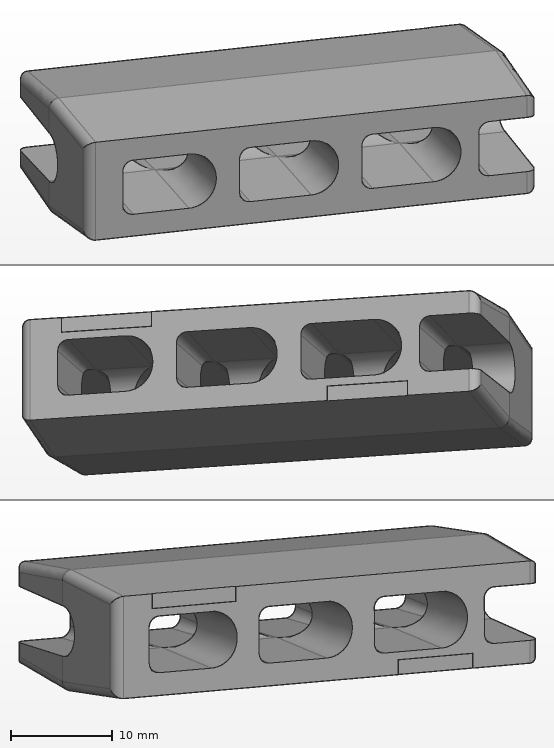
import cadquery as cq
import math

length = 47.4
width = 22.0
mid_height = 12.2
edge_height = 10.3
end_fillet = 1.0
half_width = width / 2

draft_angle = 1.6
side_draft = half_width * math.tan(math.radians(draft_angle))

bore_diameter = 5.05
bore_radius = bore_diameter / 2
pocket_pitch = 12.7
slot_width = 1.55
slot_radius = slot_width / 2
inner_slot_y = pocket_pitch / 2
outer_slot_y = 18.5

closed_pockets = [
    (-outer_slot_y, -pocket_pitch),
    (-inner_slot_y, 0),
    (inner_slot_y, pocket_pitch),
]

label_depth = 0.1
label_inner_z = 3.65
labels = [
    (14.6, 9.2, 1),
    (-12.05, 8.2, -1),
]


def hexagon_prism(plane, mid_size, side_size, depth):
    """Prism with a six-sided outline that is widest at x = 0."""
    half_mid = mid_size / 2
    half_side = side_size / 2
    outline = [
        (0, half_mid),
        (half_width, half_side),
        (half_width, -half_side),
        (0, -half_mid),
        (-half_width, -half_side),
        (-half_width, half_side),
    ]
    return cq.Workplane(plane).polyline(outline).close().extrude(depth / 2, both=True)


def make_body():
    """Block tapering toward both sides, with the rims of its ends rounded."""
    profile = hexagon_prism("XZ", mid_height, edge_height, length)
    plan = hexagon_prism("XY", length, length - 2 * side_draft, mid_height)
    block = profile.intersect(plan)
    rims = block.edges("not |Y").edges("<X or >X or (not |Z)")
    return rims.fillet(end_fillet)


def pocket_start(square_y):
    """Square end of a pocket outline, drawn from its upper to its lower corner."""
    return (
        cq.Workplane("YZ")
        .moveTo(square_y + slot_radius, bore_radius)
        .radiusArc((square_y, bore_radius - slot_radius), -slot_radius)
        .lineTo(square_y, slot_radius - bore_radius)
        .radiusArc((square_y + slot_radius, -bore_radius), -slot_radius)
    )


def make_closed_pocket(slot_y, round_y):
    """Drafted pocket from a square end at the slot to a round end toward +Y."""
    outline = (
        pocket_start(slot_y - slot_radius)
        .lineTo(round_y, -bore_radius)
        .threePointArc((round_y + bore_radius, 0), (round_y, bore_radius))
        .close()
    )
    return outline.extrude(half_width, taper=-draft_angle)


def make_open_pocket():
    """Drafted pocket that runs out through the +Y end."""
    outline = (
        pocket_start(outer_slot_y - slot_radius)
        .lineTo(length, -bore_radius)
        .lineTo(length, bore_radius)
        .close()
    )
    return outline.extrude(half_width, taper=-draft_angle)


def make_label_recess(center_y, label_length, side):
    """Shallow rectangle between the pockets and the upper or lower face edge."""
    label_height = mid_height / 2 - label_inner_z
    center_z = side * (label_inner_z + label_height / 2)
    recess = cq.Workplane("XY").box(2 * label_depth, label_length, label_height)
    return recess.translate((-half_width, center_y, center_z))


def make_half():
    """The x > 0 half: block cut by the full-length bore and its side pockets."""
    half_space = cq.Workplane("XY").box(width, 2 * length, 2 * mid_height)
    half = make_body().intersect(half_space.translate((half_width, 0, 0)))
    half = half.cut(cq.Workplane("XZ").circle(bore_radius).extrude(length / 2, both=True))
    for slot_y, round_y in closed_pockets:
        half = half.cut(make_closed_pocket(slot_y, round_y))
    return half.cut(make_open_pocket())


half = make_half()
body = half.union(half.rotate((0, 0, 0), (0, 0, 1), 180))

for center_y, label_length, side in labels:
    body = body.cut(make_label_recess(center_y, label_length, side))

result = body